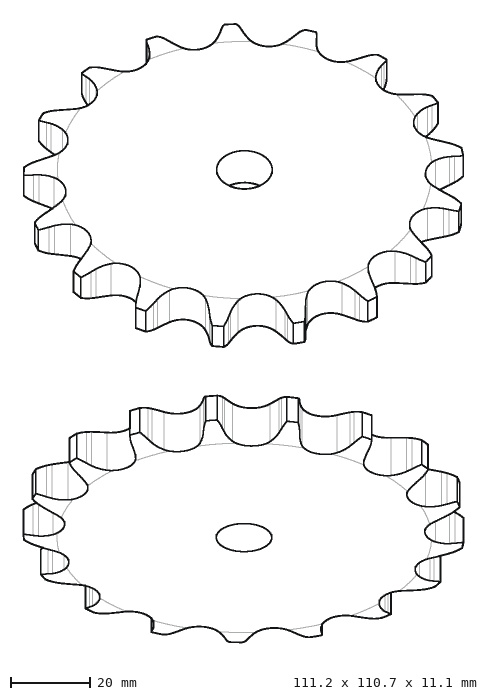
import cadquery as cq
import math

tooth_count = 17
thickness = 11.1
bore_diameter = 14.0
tip_radius = 55.7
pitch_radius = 51.8

seat_radius = 6.1
flank_radius = 15.8
flank_straight = 1.5
top_radius = 10.0
seat_half_angle = 55.0 - 60.0 / tooth_count
flank_angle = 18.0 - 56.0 / tooth_count
top_angle = 25.0
gap_overshoot = 2.2

relief_start_radius = 47.3
relief_radius = 19.0

tooth_pitch_angle = 360.0 / tooth_count
half_thickness = thickness / 2


def point_on_circle(center, radius, angle):
    """Point at an angle in degrees, measured from +X."""
    turn = math.radians(angle)
    return (center[0] + radius * math.cos(turn), center[1] + radius * math.sin(turn))


def mirrored(point):
    return (-point[0], point[1])


def gap_cutter():
    """Tooth gap centred on +Y; its right side is worked out and mirrored to the left."""
    seat_center = (0, pitch_radius)
    seat_bottom = (0, pitch_radius - seat_radius)

    seat_end_angle = seat_half_angle - 90
    flank_end_angle = seat_end_angle + flank_angle
    seat_end = point_on_circle(seat_center, seat_radius, seat_end_angle)
    flank_center = point_on_circle(seat_end, flank_radius, seat_end_angle + 180)
    flank_middle = point_on_circle(flank_center, flank_radius, seat_end_angle + flank_angle / 2)
    flank_end = point_on_circle(flank_center, flank_radius, flank_end_angle)

    top_start = point_on_circle(flank_end, flank_straight, flank_end_angle + 90)
    top_center = point_on_circle(top_start, top_radius, flank_end_angle)
    top_start_angle = flank_end_angle + 180
    top_middle = point_on_circle(top_center, top_radius, top_start_angle - top_angle / 2)
    top_end = point_on_circle(top_center, top_radius, top_start_angle - top_angle)
    outer_corner = (top_end[0], tip_radius + gap_overshoot)

    return (
        cq.Workplane("XY")
        .workplane(offset=-half_thickness)
        .moveTo(*outer_corner)
        .lineTo(*top_end)
        .threePointArc(top_middle, top_start)
        .lineTo(*flank_end)
        .threePointArc(flank_middle, seat_end)
        .threePointArc(seat_bottom, mirrored(seat_end))
        .threePointArc(mirrored(flank_middle), mirrored(flank_end))
        .lineTo(*mirrored(top_start))
        .threePointArc(mirrored(top_middle), mirrored(top_end))
        .lineTo(*mirrored(outer_corner))
        .close()
        .extrude(thickness)
    )


def relieved_disc():
    """Solid of revolution whose faces curve inward from the relief circle to the rim."""
    relief_center_z = half_thickness - relief_radius
    rim_angle = math.degrees(math.acos((tip_radius - relief_start_radius) / relief_radius))
    upper_center = (relief_start_radius, relief_center_z)
    upper_rim = point_on_circle(upper_center, relief_radius, rim_angle)
    upper_middle = point_on_circle(upper_center, relief_radius, (rim_angle + 90) / 2)

    return (
        cq.Workplane("XZ")
        .moveTo(0, -half_thickness)
        .lineTo(relief_start_radius, -half_thickness)
        .threePointArc((upper_middle[0], -upper_middle[1]), (upper_rim[0], -upper_rim[1]))
        .lineTo(*upper_rim)
        .threePointArc(upper_middle, (relief_start_radius, half_thickness))
        .lineTo(0, half_thickness)
        .close()
        .revolve(360, (0, 0, 0), (0, 1, 0))
    )


sprocket = relieved_disc()
gap = gap_cutter()
for index in range(tooth_count):
    sprocket = sprocket.cut(gap.rotate((0, 0, 0), (0, 0, 1), index * tooth_pitch_angle))

result = sprocket.faces(">Z").workplane(origin=(0, 0, 0)).hole(bore_diameter)